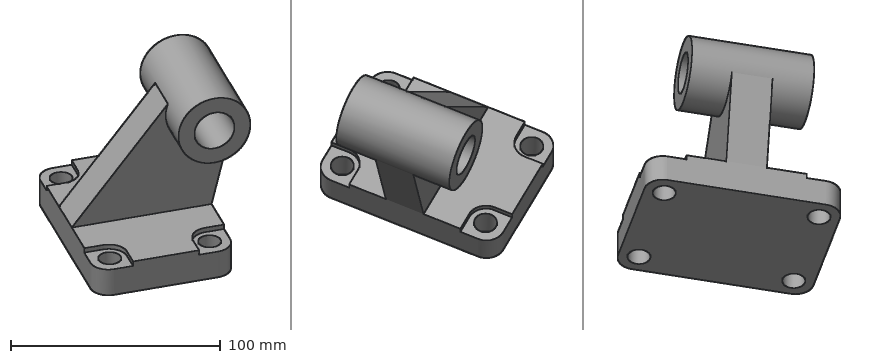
import cadquery as cq
import math

base_length = 96.0
base_width = 70.0
base_height = 17.0
base_corner_radius = 9.0

hole_diameter = 11.0
hole_edge_distance = 10.0
recess_size = 18.5
recess_corner_radius = 9.0
recess_depth = 2.5

tube_diameter = 36.0
bore_diameter = 20.0
tube_length = 60.0
tube_overhang = 13.0
overall_height = 89.0

rib_thickness = 20.0
rib_front_angle = 51.4
rib_front_run = 52.0

half_length = base_length / 2
half_width = base_width / 2
tube_y = half_width + tube_overhang - tube_diameter / 2
tube_z = overall_height - tube_diameter / 2
hole_x = half_length - hole_edge_distance
hole_y = half_width - hole_edge_distance


def make_recess(x_side, y_side):
    """Recess open to both sides of one corner, rounded at its inner corner."""
    block_side = 2 * recess_size
    block = cq.Workplane("XY").box(block_side, block_side, recess_depth, centered=(True, True, False))
    block = block.edges("|Z").fillet(recess_corner_radius)
    recess_z = base_height - recess_depth
    return block.translate((x_side * half_length, y_side * half_width, recess_z))


def make_base():
    """Rounded plate with four recessed through holes."""
    base = cq.Workplane("XY").box(base_length, base_width, base_height, centered=(True, True, False))
    base = base.edges("|Z").fillet(base_corner_radius)
    for x_side in (-1, 1):
        for y_side in (-1, 1):
            hole = cq.Workplane("XY").center(x_side * hole_x, y_side * hole_y)
            hole = hole.circle(hole_diameter / 2).extrude(base_height)
            base = base.cut(make_recess(x_side, y_side)).cut(hole)
    return base


def make_rib():
    """Tapered web rising from the full width of the base to the tube."""
    rib_front_rise = rib_front_run * math.tan(math.radians(rib_front_angle))
    outline = [
        (-half_width, base_height),
        (half_width, base_height),
        (tube_y + tube_diameter / 2, tube_z),
        (rib_front_run - half_width, base_height + rib_front_rise),
    ]
    rib_face = cq.Workplane("YZ", origin=(-rib_thickness / 2, 0, 0)).polyline(outline).close()
    return rib_face.extrude(rib_thickness)


def make_tube_cylinder(diameter):
    """Cylinder on the tube axis, as long as the tube."""
    end_section = cq.Workplane("YZ", origin=(-tube_length / 2, tube_y, tube_z)).circle(diameter / 2)
    return end_section.extrude(tube_length)


result = make_base().union(make_rib()).union(make_tube_cylinder(tube_diameter))
result = result.cut(make_tube_cylinder(bore_diameter))